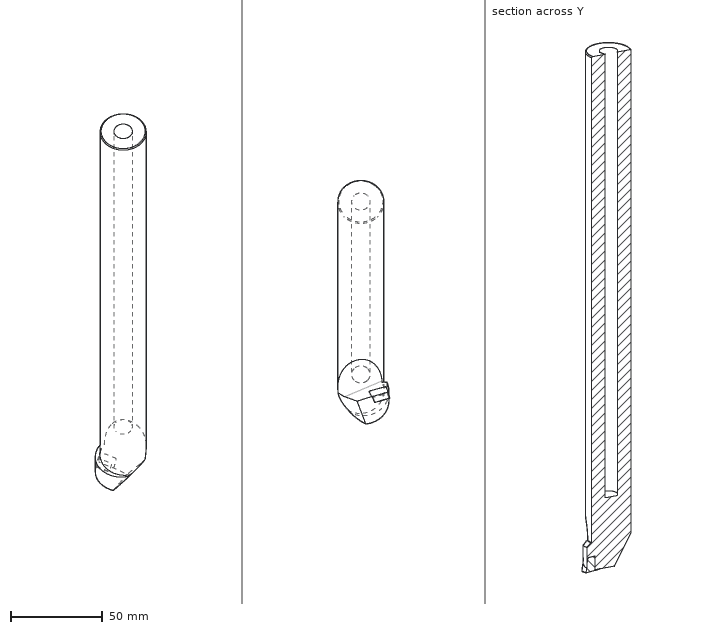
import cadquery as cq
import math

length = 306.0
shank_diameter = 25.5
shank_radius = shank_diameter / 2
top_chamfer = 0.5
bore_diameter = 10.0
bore_end_z = 43.2

head_radius = 14.23
head_offset = 1.38
head_top_z = 18.0
head_shoulder = 2.5
heel_z = 2.8
toe_z = 1.0

relief_top_z = 20.2
relief_bottom_x = 2.5
relief_bottom_z = 2.0

tip_x = -16.37
rake_angle = 4.5
runout_start_z = 16.0
runout_radius = 16.2
runout_tilt = 17.0

insert_side = 9.8
insert_thickness = 4.0
insert_angle = 75.0
insert_lead = 5.0
nose_radius = 0.8
insert_clearance = 7.0

clear_size = 61.2

rake = math.radians(rake_angle)
chip_x_direction = cq.Vector(math.cos(rake), math.sin(rake), 0)
chip_outward = cq.Vector(-math.sin(rake), math.cos(rake), 0)


def make_chip_space():
    """Everything in front of the flat of the chip face."""
    plane = cq.Plane(origin=(tip_x, 0, 0), xDir=chip_x_direction, normal=chip_outward)
    return cq.Workplane(plane).rect(2 * clear_size, 2 * clear_size).extrude(clear_size)


def make_blank():
    """Shank and offset head, before the shared cuts."""
    shank = cq.Workplane("XY").circle(shank_radius).extrude(length)
    shank = shank.faces(">Z").chamfer(top_chamfer)
    head = cq.Workplane("XY").center(-head_offset, 0).circle(head_radius).extrude(head_top_z)
    head = head.faces(">Z").edges().chamfer(head_shoulder)
    width_limit = cq.Workplane("XY").box(clear_size, clear_size, clear_size)
    width_limit = width_limit.translate((shank_radius - clear_size / 2, 0, 0))
    head = head.intersect(width_limit).cut(make_chip_space())
    return shank.union(head)


def make_bore():
    """Blind bore from the top of the shank."""
    return (
        cq.Workplane("XY").workplane(offset=bore_end_z)
        .circle(bore_diameter / 2).extrude(length - bore_end_z)
    )


def make_side_relief():
    """Wedge that slants the +X side in toward the bottom."""
    slope = (shank_radius - relief_bottom_x) / (relief_top_z - relief_bottom_z)
    foot_x = relief_bottom_x - slope * (relief_bottom_z + clear_size)
    far_x = shank_radius + clear_size
    far_z = relief_top_z + clear_size / slope
    outline = [(foot_x, -clear_size), (far_x, -clear_size), (far_x, far_z)]
    return cq.Workplane("XZ").polyline(outline).close().extrude(clear_size, both=True)


def make_bottom_relief():
    """Wedge that raises the bottom of the head toward its heel."""
    rise = (heel_z - toe_z) / head_radius * clear_size
    outline = [
        (-clear_size, -clear_size),
        (clear_size, -clear_size),
        (clear_size, toe_z - rise),
        (-clear_size, toe_z + rise),
    ]
    return cq.Workplane("YZ").polyline(outline).close().extrude(clear_size, both=True)


def make_chip_pocket():
    """Space above the chip face, closed by a concave run-out into the shank."""
    tilt = math.radians(runout_tilt)
    sweep_direction = chip_x_direction * math.cos(tilt) - cq.Vector(0, 0, math.sin(tilt))
    start_z = runout_start_z - tip_x * math.tan(tilt)
    plane = cq.Plane(origin=(tip_x, 0, start_z), xDir=chip_outward, normal=sweep_direction)
    diagonal = runout_radius * math.sqrt(0.5)
    return (
        cq.Workplane(plane)
        .moveTo(0, -clear_size)
        .lineTo(0, 0)
        .threePointArc((runout_radius - diagonal, diagonal), (runout_radius, runout_radius))
        .lineTo(clear_size, runout_radius)
        .lineTo(clear_size, -clear_size)
        .close()
        .extrude(clear_size, both=True)
    )


def make_insert():
    """Rhombic insert with rounded corners and sloping flanks."""
    plane = cq.Plane(origin=(tip_x, 0, 0), xDir=chip_x_direction, normal=-chip_outward)
    half_angle = math.radians(insert_angle / 2)
    diagonal = math.radians(insert_lead + insert_angle / 2)
    corner_distance = nose_radius / math.sin(half_angle)
    corner_x = nose_radius - corner_distance * math.cos(diagonal)
    corner_z = nose_radius - corner_distance * math.sin(diagonal)
    first = math.radians(insert_lead)
    second = math.radians(insert_lead + insert_angle)
    first_x = insert_side * math.cos(first)
    first_z = insert_side * math.sin(first)
    second_x = insert_side * math.cos(second)
    second_z = insert_side * math.sin(second)
    outline = [
        (corner_x, corner_z),
        (corner_x + first_x, corner_z + first_z),
        (corner_x + first_x + second_x, corner_z + first_z + second_z),
        (corner_x + second_x, corner_z + second_z),
    ]
    rhombus = cq.Sketch().polygon(outline + outline[:1]).vertices().fillet(nose_radius)
    return cq.Workplane(plane).placeSketch(rhombus).extrude(insert_thickness, taper=insert_clearance)


insert = make_insert()
holder = (
    make_blank()
    .cut(make_bore())
    .cut(make_side_relief())
    .cut(make_bottom_relief())
    .cut(make_chip_pocket())
    .cut(insert)
)

result = cq.Compound.makeCompound([holder.val(), insert.val()])